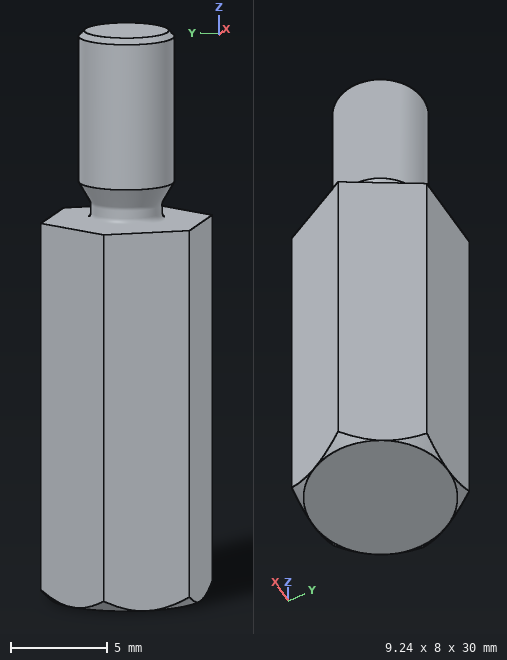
import cadquery as cq
import math

total_length = 30.0
body_length = 20.0
across_flats = 8.0
across_corners = across_flats / math.cos(math.radians(30))

base_radius = across_flats / 2

stud_radius = 5.0 / 2
neck_radius = 3.72 / 2
tip_chamfer = 0.3
undercut_length = 2.0
undercut_angle = math.radians(30)
neck_fillet = 0.35


def hex_body():
    """Hexagonal bar with two corners on the X axis and a chamfered lower end."""
    prism = cq.Workplane("XY").polygon(6, across_corners).extrude(body_length)
    envelope_radius = across_corners
    envelope_rise = envelope_radius - base_radius
    envelope = (
        cq.Workplane("XZ")
        .moveTo(0, 0)
        .lineTo(base_radius, 0)
        .lineTo(envelope_radius, envelope_rise)
        .lineTo(envelope_radius, body_length)
        .lineTo(0, body_length)
        .close()
        .revolve(360, (0, 0, 0), (0, 1, 0))
    )
    return prism.intersect(envelope)


def stud():
    """Stud with a chamfered tip, a tapered runout and a neck with rounded ends."""
    runout_top = body_length + undercut_length
    runout_height = (stud_radius - neck_radius) / math.tan(undercut_angle)
    runout_corner = runout_top - runout_height

    tangent_length = neck_fillet * math.tan(undercut_angle / 2)
    arc_start_height = runout_corner - tangent_length
    arc_center_radius = neck_radius + neck_fillet

    def upper_arc_point(angle):
        return (
            arc_center_radius - neck_fillet * math.cos(angle),
            arc_start_height + neck_fillet * math.sin(angle),
        )

    lower_arc_middle = (
        arc_center_radius - neck_fillet * math.cos(math.radians(45)),
        body_length + neck_fillet * (1 - math.sin(math.radians(45))),
    )
    return (
        cq.Workplane("XZ")
        .moveTo(0, body_length)
        .lineTo(arc_center_radius, body_length)
        .threePointArc(lower_arc_middle, (neck_radius, body_length + neck_fillet))
        .lineTo(neck_radius, arc_start_height)
        .threePointArc(upper_arc_point(undercut_angle / 2), upper_arc_point(undercut_angle))
        .lineTo(stud_radius, runout_top)
        .lineTo(stud_radius, total_length - tip_chamfer)
        .lineTo(stud_radius - tip_chamfer, total_length)
        .lineTo(0, total_length)
        .close()
        .revolve(360, (0, 0, 0), (0, 1, 0))
    )


result = hex_body().union(stud())